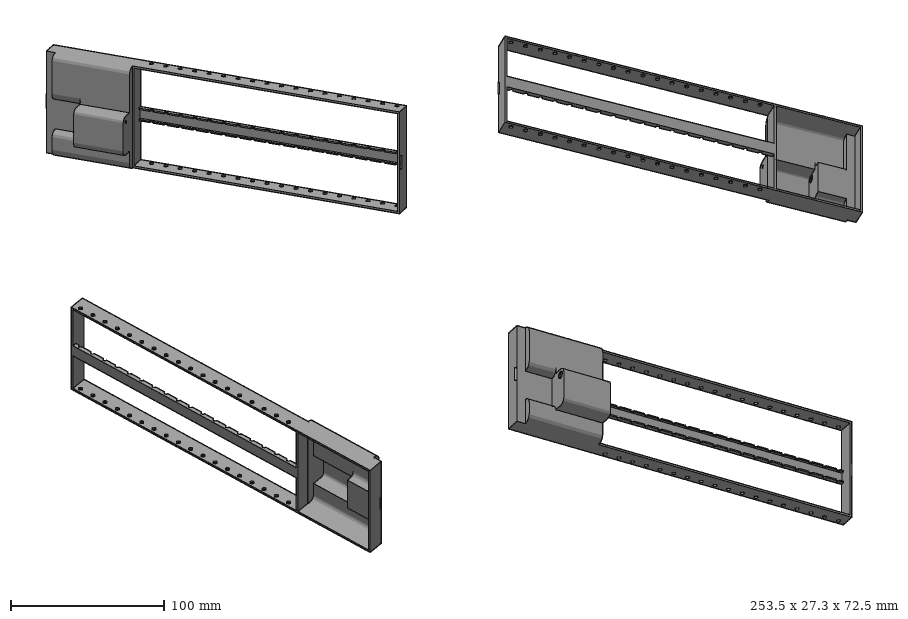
import cadquery as cq


FRAME_LENGTH = 251.5
FRAME_HEIGHT = 72.5
FRAME_DEPTH = 11.5
WALL = 1.5
SKIN = 1.0
TOP = FRAME_HEIGHT / 2

BODY_LENGTH = 62.2
PAD_START = 6.2
BLOCK_START = 26.2
PAD_END = 61.4
PAD_FRONT = -16.8
PAD_RADIUS = -PAD_FRONT - FRAME_DEPTH
BLOCK_FRONT = -27.27
BLOCK_RADIUS = 4.2
BLOCK_TOP = 5.0
BLOCK_BOTTOM = -22.6
RECESS_TOP = 3.5
RECESS_BOTTOM = -18.0

CABLE_HOLE_Y = -22.8
CABLE_HOLE_Z = 0.7
CABLE_INLET_DIAMETER = 5.0
CABLE_OUTLET_DIAMETER = 2.0

STRIP_TOP = 3.0
STRIP_HEIGHT = 9.0
STRIP_THICKNESS = 1.0
STRIP_DEPTH = 3.0

HOLE_COUNT = 18
HOLE_PITCH = 10.3
HOLE_START = 71.0
HOLE_DIAMETER = 2.6
HOLE_Y = -3.0

CATCH_LENGTH = 9.5
CATCH_REACH = 1.0
CATCH_DEPTH = 1.5


def block_between(x_range, y_range, z_range):
    """Axis-aligned box given by its limits along each axis."""
    sizes = [high - low for low, high in (x_range, y_range, z_range)]
    corner = (x_range[0], y_range[0], z_range[0])
    return cq.Workplane("XY").box(*sizes, centered=False).translate(corner)


def rounded_bar(x_range, y_range, z_range, radius):
    """Box along X whose two long front edges are rounded."""
    bar = block_between(x_range, y_range, z_range)
    return bar.faces("<Y").edges("|X").fillet(radius)


def housing_form(wall, skin):
    """Hollow space left by the given walls; zero walls give the outer form.

    The skin is the thickness of the ends and front of the pads and block.
    """
    body = block_between(
        (wall, BODY_LENGTH - wall),
        (wall - FRAME_DEPTH, 0),
        (wall - TOP, TOP - wall),
    )
    pad_x = (PAD_START + skin, PAD_END - skin)
    block_x = (BLOCK_START + skin, PAD_END - skin)
    pad_y = (PAD_FRONT + skin, -FRAME_DEPTH / 2)
    block_y = (BLOCK_FRONT + skin, -FRAME_DEPTH / 2)
    upper_z = (RECESS_TOP + wall, TOP - wall)
    lower_z = (wall - TOP, RECESS_BOTTOM - wall)
    bridge_z = (RECESS_BOTTOM - PAD_RADIUS, RECESS_TOP + PAD_RADIUS)
    block_z = (BLOCK_BOTTOM + wall, BLOCK_TOP - wall)

    upper_pad = rounded_bar(pad_x, pad_y, upper_z, PAD_RADIUS - wall)
    lower_pad = rounded_bar(pad_x, pad_y, lower_z, PAD_RADIUS - wall)
    pad_bridge = block_between(block_x, pad_y, bridge_z)
    block = rounded_bar(block_x, block_y, block_z, BLOCK_RADIUS - wall)
    return body.union(upper_pad).union(lower_pad).union(pad_bridge).union(block)


def cable_hole(diameter, x_start, x_end):
    """Cylinder along X on the axis of the cable hole."""
    hole = cq.Workplane("YZ").center(CABLE_HOLE_Y, CABLE_HOLE_Z).circle(diameter / 2)
    return hole.extrude(x_end - x_start).translate((x_start, 0, 0))


def make_housing():
    """Thin-walled housing, open at the back, with two pads and a raised block."""
    block_middle = (BLOCK_START + PAD_END) / 2
    housing = housing_form(0, 0).cut(housing_form(WALL, SKIN))
    housing = housing.cut(cable_hole(CABLE_INLET_DIAMETER, BLOCK_START, block_middle))
    return housing.cut(cable_hole(CABLE_OUTLET_DIAMETER, block_middle, PAD_END))


def make_frame():
    """Rectangular outline of thin walls around the whole part."""
    frame_y = (-FRAME_DEPTH, 0)
    outside = block_between((0, FRAME_LENGTH), frame_y, (-TOP, TOP))
    opening = block_between((WALL, FRAME_LENGTH - WALL), frame_y, (WALL - TOP, TOP - WALL))
    return outside.cut(opening)


def make_strip():
    """Shallow channel from the housing to the far end wall, open to the front."""
    strip_x = (BODY_LENGTH - WALL, FRAME_LENGTH - WALL)
    strip_bottom = STRIP_TOP - STRIP_HEIGHT
    outside = block_between(strip_x, (-STRIP_DEPTH, 0), (strip_bottom, STRIP_TOP))
    groove = block_between(
        strip_x,
        (-STRIP_DEPTH, -STRIP_THICKNESS),
        (strip_bottom + STRIP_THICKNESS, STRIP_TOP - STRIP_THICKNESS),
    )
    return outside.cut(groove)


def make_holes():
    """Row of cylinders that pass through both rails and notch the strip edges."""
    centres = [(HOLE_START + i * HOLE_PITCH, HOLE_Y) for i in range(HOLE_COUNT)]
    holes = cq.Workplane("XY").pushPoints(centres).circle(HOLE_DIAMETER / 2)
    return holes.extrude(TOP, both=True)


def make_catch(x_face, direction):
    """Catch with a square ledge at the back that slopes away to the front edge."""
    ledge_y = CATCH_DEPTH - FRAME_DEPTH
    profile = cq.Workplane("XY").moveTo(x_face, ledge_y)
    profile = profile.lineTo(x_face + direction * CATCH_REACH, ledge_y)
    profile = profile.lineTo(x_face, -FRAME_DEPTH).close()
    return profile.extrude(CATCH_LENGTH).translate((0, 0, -CATCH_LENGTH / 2))


result = (
    make_frame()
    .union(make_housing())
    .union(make_strip())
    .cut(make_holes())
    .union(make_catch(0, -1))
    .union(make_catch(FRAME_LENGTH, 1))
)